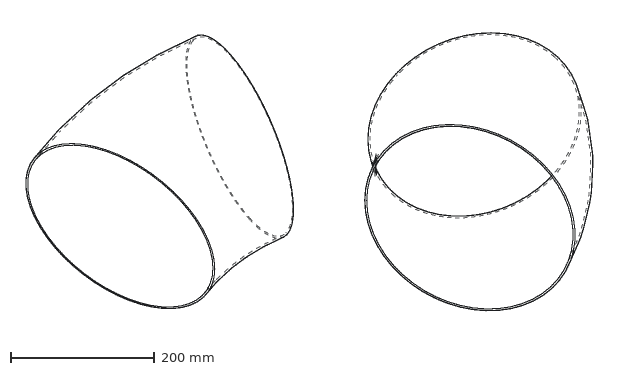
import cadquery as cq

outer_diameter = 306.0
wall_thickness = 3.0
bend_radius = 450.0
bend_angle = 30.0

outer_radius = outer_diameter / 2
inner_radius = outer_radius - wall_thickness


def pipe_bend():
    """Sweep the ring-shaped pipe section around a bend axis parallel to Z."""
    section = cq.Workplane("XZ").circle(outer_radius).circle(inner_radius)
    axis_start = (bend_radius, 0)
    axis_end = (bend_radius, -1)
    return section.revolve(bend_angle, axis_start, axis_end)


result = pipe_bend()